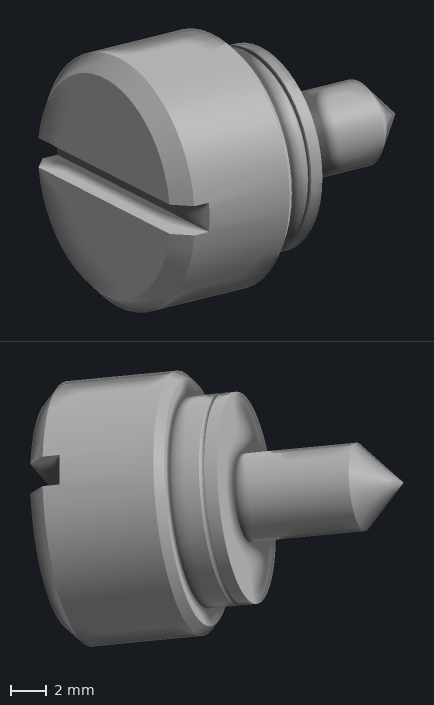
import cadquery as cq

total_length = 20.0
head_radius = 7.5
head_length = 8.0
head_front_chamfer = 1.0
head_back_chamfer = 0.5
slot_width = 1.75
slot_depth = 2.0
collar_radius = 6.0
collar_end = 10.05
collar_chamfer = 0.3
pin_radius = 2.5
tip_length = pin_radius

washer_thickness = 0.75
washer_radius = collar_radius


def make_screw():
    """Turned head, collar and pointed pin, with a driver slot across the head."""
    profile = [
        (0, 0),
        (head_radius - head_front_chamfer, 0),
        (head_radius, head_front_chamfer),
        (head_radius, head_length - head_back_chamfer),
        (head_radius - head_back_chamfer, head_length),
        (collar_radius, head_length),
        (collar_radius, collar_end - collar_chamfer),
        (collar_radius - collar_chamfer, collar_end),
        (pin_radius, collar_end),
        (pin_radius, total_length - tip_length),
        (0, total_length),
    ]
    turned = cq.Workplane("XY").polyline(profile).close().revolve(360, (0, 0), (0, 1))
    slot = cq.Workplane("XY").box(
        2 * head_radius, slot_depth, slot_width, centered=(True, False, True)
    )
    return turned.cut(slot)


def make_washer():
    """Flat ring that fits closely around the pin."""
    washer_end = collar_end + washer_thickness
    profile = [
        (pin_radius, collar_end),
        (washer_radius, collar_end),
        (washer_radius, washer_end),
        (pin_radius, washer_end),
    ]
    return cq.Workplane("XY").polyline(profile).close().revolve(360, (0, 0), (0, 1))


screw = make_screw()
washer = make_washer()

result = cq.Compound.makeCompound([screw.val(), washer.val()])